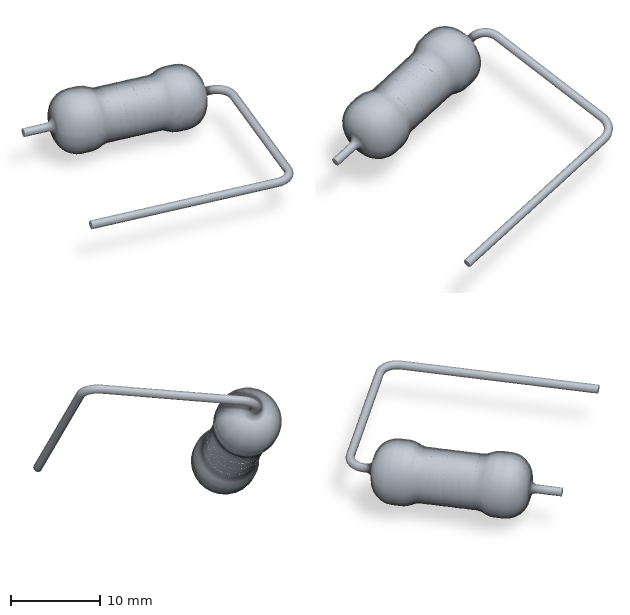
import cadquery as cq
import math

wire_diameter = 1.0
lead_pitch = 20.0
overall_length = 25.1
bend_radius = 2.0
wire_radius = wire_diameter / 2
crossbar_y = overall_length - wire_radius

body_diameter = 7.5
waist_diameter = 6.38
band_diameter = 6.4
body_length = 18.0
body_middle_y = 12.6
end_dome_length = 2.6
neck_radius = 0.75
shoulder_length = 1.13
shoulder_curve_length = 1.1
band_count = 7
raised_bands = range(0, band_count, 2)

body_radius = body_diameter / 2
waist_radius = waist_diameter / 2
half_length = body_length / 2
shoulder_outer = half_length - end_dome_length
shoulder_inner = shoulder_outer - shoulder_length
curve_middle = shoulder_inner - shoulder_curve_length
waist_half_length = curve_middle - shoulder_curve_length
band_width = 2 * waist_half_length / band_count


def make_lead():
    """Sweep the round wire through the body, across and back down."""
    path = (
        cq.Workplane("XY")
        .lineTo(0, crossbar_y - bend_radius)
        .radiusArc((bend_radius, crossbar_y), bend_radius)
        .lineTo(lead_pitch - bend_radius, crossbar_y)
        .radiusArc((lead_pitch, crossbar_y - bend_radius), bend_radius)
        .lineTo(lead_pitch, 0)
    )
    return cq.Workplane("XZ").circle(wire_radius).sweep(path)


def make_half_body():
    """Revolve one half of the body, from its middle to the neck on the wire."""
    diagonal = math.sqrt(0.5)
    neck_outer_radius = wire_radius + neck_radius
    neck_end = half_length + neck_radius

    dome_inset = body_radius - neck_outer_radius
    dome_radius = (dome_inset**2 + end_dome_length**2) / (2 * dome_inset)

    half_step = (body_radius - waist_radius) / 2
    curve_radius = (half_step**2 + shoulder_curve_length**2) / (2 * half_step)
    curve_middle_radius = waist_radius + half_step

    return (
        cq.Workplane("XY")
        .lineTo(waist_radius, 0)
        .lineTo(waist_radius, waist_half_length)
        .radiusArc((curve_middle_radius, curve_middle), curve_radius)
        .radiusArc((body_radius, shoulder_inner), -curve_radius)
        .lineTo(body_radius, shoulder_outer)
        .radiusArc((neck_outer_radius, half_length), -dome_radius)
        .threePointArc(
            (neck_outer_radius - neck_radius * diagonal, neck_end - neck_radius * diagonal),
            (wire_radius, neck_end),
        )
        .lineTo(0, neck_end)
        .close()
        .revolve(360, (0, 0, 0), (0, 1, 0))
    )


def make_band(index):
    """Slightly raised colour band on the waist, numbered from the -Y end."""
    start_y = index * band_width - waist_half_length
    return (
        cq.Workplane("XZ", origin=(0, start_y, 0))
        .circle(band_diameter / 2)
        .extrude(-band_width)
    )


half_body = make_half_body()
body = half_body.union(half_body.mirror("XZ"))
for band_index in raised_bands:
    body = body.union(make_band(band_index))

result = make_lead().union(body.translate((0, body_middle_y, 0)))